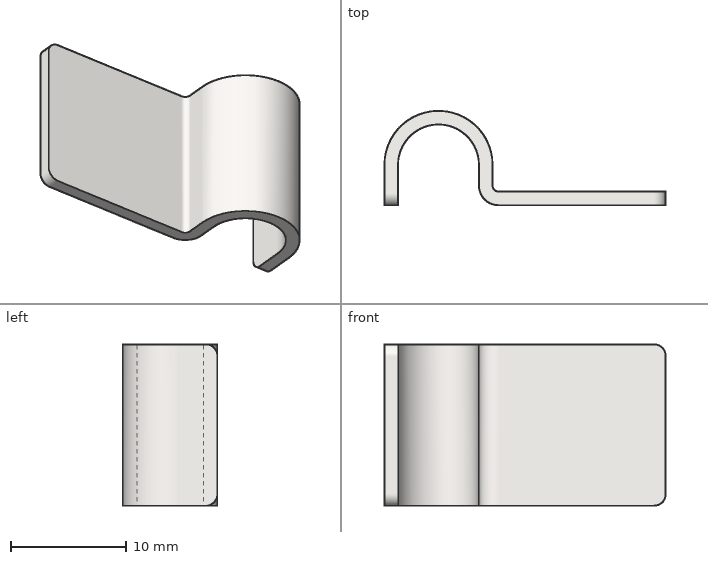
import cadquery as cq
import math

overall_length = 24.4
clip_width = 14.0
thickness = 1.2
loop_inner_radius = 3.5
saddle_height = 3.5
bend_inner_radius = 0.5
corner_radius = 1.0

loop_outer_radius = loop_inner_radius + thickness
bend_outer_radius = bend_inner_radius + thickness
bend_center_x = loop_outer_radius + bend_inner_radius
bend_center_y = bend_outer_radius
plate_end_x = overall_length - loop_outer_radius


def bend_midpoint(radius):
    """Point halfway round the quarter bend, on an arc of the given radius."""
    offset = radius * math.sqrt(0.5)
    return (bend_center_x - offset, bend_center_y - offset)


def make_bent_strip():
    """Sheet profile in XY, extruded over the clip width."""
    return (
        cq.Workplane("XY")
        .moveTo(-loop_outer_radius, 0)
        .lineTo(-loop_outer_radius, saddle_height)
        .threePointArc((0, saddle_height + loop_outer_radius), (loop_outer_radius, saddle_height))
        .lineTo(loop_outer_radius, bend_center_y)
        .threePointArc(bend_midpoint(bend_inner_radius), (bend_center_x, thickness))
        .lineTo(plate_end_x, thickness)
        .lineTo(plate_end_x, 0)
        .lineTo(bend_center_x, 0)
        .threePointArc(bend_midpoint(bend_outer_radius), (loop_inner_radius, bend_center_y))
        .lineTo(loop_inner_radius, saddle_height)
        .threePointArc((0, saddle_height + loop_inner_radius), (-loop_inner_radius, saddle_height))
        .lineTo(-loop_inner_radius, 0)
        .close()
        .extrude(clip_width)
    )


def round_free_corners(strip):
    """Round the corners at the plate end and at the free leg's end."""
    plate_rounded = strip.faces(">X").edges("|Y").fillet(corner_radius)
    free_leg_corners = (
        plate_rounded.faces("<Y")
        .edges("|X")
        .edges(cq.selectors.BoxSelector(
            (-loop_outer_radius, -thickness, -thickness),
            (-loop_inner_radius, thickness, clip_width + thickness),
        ))
    )
    return free_leg_corners.fillet(corner_radius)


result = round_free_corners(make_bent_strip())